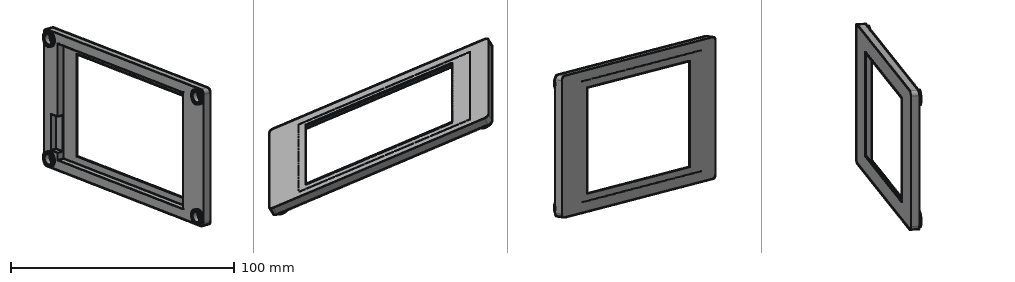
import cadquery as cq

plate_length = 110.0
plate_height = 65.0
plate_thickness = 4.0
corner_radius = 2.0

boss_diameter = 7.0
boss_height = 1.0
boss_inset = 4.0
hole_diameter = 5.0
hole_floor = 2.0

recess_length = 86.2
recess_height = 55.4
recess_left_margin = 9.4
recess_floor = 0.5
window_length = 73.4
window_height = 48.5
window_left_margin = 18.3

notch_left_margin = 4.7
notch_bottom_margin = 8.3
notch_height = 17.2
notch_depth = 3.0

plate_left = -plate_length / 2
plate_bottom = -plate_height / 2


def box_from_front(left, bottom, length, height, depth):
    """Box reaching from the front face (Y = 0) to the given depth."""
    return cq.Workplane("XY").box(length, depth, height, centered=False).translate((left, 0, bottom))


def cylinders_at_corners(diameter, front, back):
    """Four cylinders along Y at the corner hole positions."""
    return (
        cq.Workplane("XZ", origin=(0, front, 0))
        .rect(plate_length - 2 * boss_inset, plate_height - 2 * boss_inset, forConstruction=True)
        .vertices()
        .circle(diameter / 2)
        .extrude(front - back)
    )


def make_plate():
    plate = box_from_front(plate_left, plate_bottom, plate_length, plate_height, plate_thickness)
    return plate.edges("|Y").fillet(corner_radius)


def make_opening():
    recess_left = plate_left + recess_left_margin
    recess = box_from_front(
        recess_left, -recess_height / 2, recess_length, recess_height, plate_thickness - recess_floor
    )
    window = box_from_front(
        plate_left + window_left_margin, -window_height / 2, window_length, window_height, plate_thickness
    )
    notch = box_from_front(
        plate_left + notch_left_margin,
        plate_bottom + notch_bottom_margin,
        recess_left_margin - notch_left_margin,
        notch_height,
        notch_depth,
    )
    return recess.union(window).union(notch)


bosses = cylinders_at_corners(boss_diameter, -boss_height, 0)
holes = cylinders_at_corners(hole_diameter, -boss_height, plate_thickness - hole_floor)

result = make_plate().union(bosses).cut(make_opening()).cut(holes)